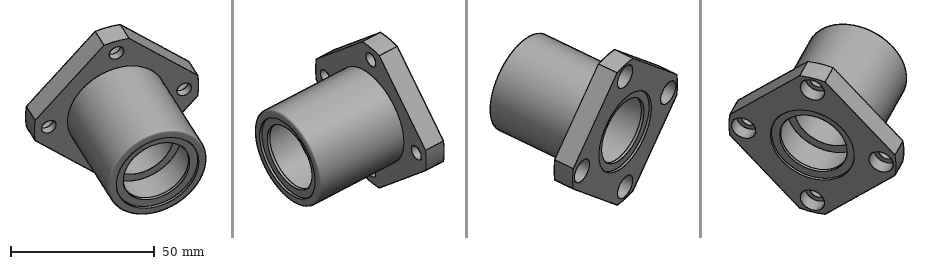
import cadquery as cq

flange_thickness = 8.0
flange_circle_diameter = 62.0
flange_square_side = 50.0
flange_tilt = 45.0

total_length = 45.0
sleeve_diameter = 37.0
sleeve_end_radius = 0.8

bore_diameter = 25.0
recess_diameter = 31.05
recess_depth = 1.0
lip_length = 1.1
land_length = 14.0

hole_circle_diameter = 51.0
hole_diameter = 5.5
counterbore_diameter = 9.0
counterbore_depth = 5.1
hole_count = 4
full_turn = 360


def cylinder_along_x(diameter, start, length):
    """Solid cylinder on the X axis, beginning at x = start."""
    return cq.Workplane("YZ", origin=(start, 0, 0)).circle(diameter / 2).extrude(length)


def make_flange():
    """Square plate standing on its corner, with corners rounded by a circle."""
    square = (
        cq.Workplane("YZ")
        .rect(flange_square_side, flange_square_side)
        .extrude(flange_thickness)
        .rotate((0, 0, 0), (1, 0, 0), flange_tilt)
    )
    return square.intersect(cylinder_along_x(flange_circle_diameter, 0, flange_thickness))


def make_sleeve():
    """Round sleeve with a rounded outer edge at its free end."""
    sleeve = cylinder_along_x(sleeve_diameter, 0, total_length)
    return sleeve.faces(">X").edges().fillet(sleeve_end_radius)


def make_bore():
    """Volume removed by the through bore with its recesses and chambers."""
    chamber_start = recess_depth + lip_length
    chamber_length = (total_length - land_length) / 2 - chamber_start
    rear_recess_start = total_length - recess_depth
    rear_chamber_start = total_length - chamber_start - chamber_length

    bore = cylinder_along_x(bore_diameter, 0, total_length)
    for start in (0, rear_recess_start):
        bore = bore.union(cylinder_along_x(recess_diameter, start, recess_depth))
    for start in (chamber_start, rear_chamber_start):
        bore = bore.union(cylinder_along_x(recess_diameter, start, chamber_length))
    return bore


def make_mounting_holes():
    """Volume removed by the holes, counterbored from the outer flange face."""

    def ring_of_holes(diameter, depth):
        return (
            cq.Workplane("YZ")
            .polarArray(hole_circle_diameter / 2, 0, full_turn, hole_count)
            .circle(diameter / 2)
            .extrude(depth)
        )

    through_holes = ring_of_holes(hole_diameter, flange_thickness)
    return through_holes.union(ring_of_holes(counterbore_diameter, counterbore_depth))


result = make_flange().union(make_sleeve()).cut(make_bore()).cut(make_mounting_holes())